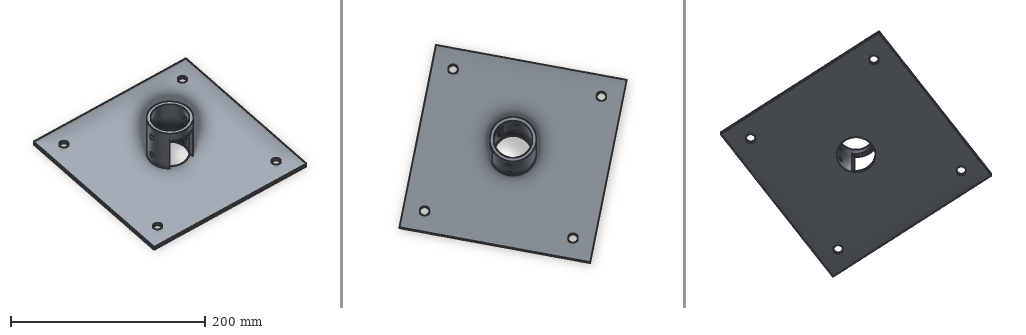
import cadquery as cq

PLATE_SIDE = 200.0
PLATE_THICKNESS = 4.0
MOUNT_HOLE_DIAMETER = 10.0
MOUNT_CIRCLE_DIAMETER = 220.0
MOUNT_HOLE_COUNT = 4
MOUNT_START_ANGLE = 45.0

TUBE_OUTER_DIAMETER = 48.0
TUBE_BORE_DIAMETER = 40.0
TUBE_HEIGHT = 50.0

CROSS_HOLE_DIAMETER = 6.0
CROSS_HOLE_SPACING = 25.0
CROSS_HOLE_LOWEST = 11.0

WINDOW_WIDTH = 30.0
WINDOW_REACH = 40.0
WINDOW_TOP_WALL = 10.0

total_height = PLATE_THICKNESS + TUBE_HEIGHT


def base_plate():
    plate = cq.Workplane("XY").box(
        PLATE_SIDE, PLATE_SIDE, PLATE_THICKNESS, centered=(True, True, False)
    )
    return (
        plate.faces(">Z")
        .workplane()
        .polarArray(MOUNT_CIRCLE_DIAMETER / 2, MOUNT_START_ANGLE, 360, MOUNT_HOLE_COUNT)
        .hole(MOUNT_HOLE_DIAMETER)
    )


def tube():
    return (
        cq.Workplane("XY")
        .workplane(offset=PLATE_THICKNESS)
        .circle(TUBE_OUTER_DIAMETER / 2)
        .extrude(TUBE_HEIGHT)
    )


def bore():
    """Cylinder that opens both the tube and the plate."""
    return cq.Workplane("XY").circle(TUBE_BORE_DIAMETER / 2).extrude(total_height)


def cross_holes():
    lowest = PLATE_THICKNESS + CROSS_HOLE_LOWEST
    return (
        cq.Workplane("XZ")
        .pushPoints([(0, lowest), (0, lowest + CROSS_HOLE_SPACING)])
        .circle(CROSS_HOLE_DIAMETER / 2)
        .extrude(TUBE_OUTER_DIAMETER / 2, both=True)
    )


def window():
    """Block reaching from the tube axis out through the +X wall."""
    return (
        cq.Workplane("XY")
        .workplane(offset=PLATE_THICKNESS)
        .box(
            WINDOW_REACH,
            WINDOW_WIDTH,
            TUBE_HEIGHT - WINDOW_TOP_WALL,
            centered=(False, True, False),
        )
    )


drilled_base = base_plate().union(tube()).cut(bore()).cut(cross_holes())

result = drilled_base.cut(window(), clean=False)